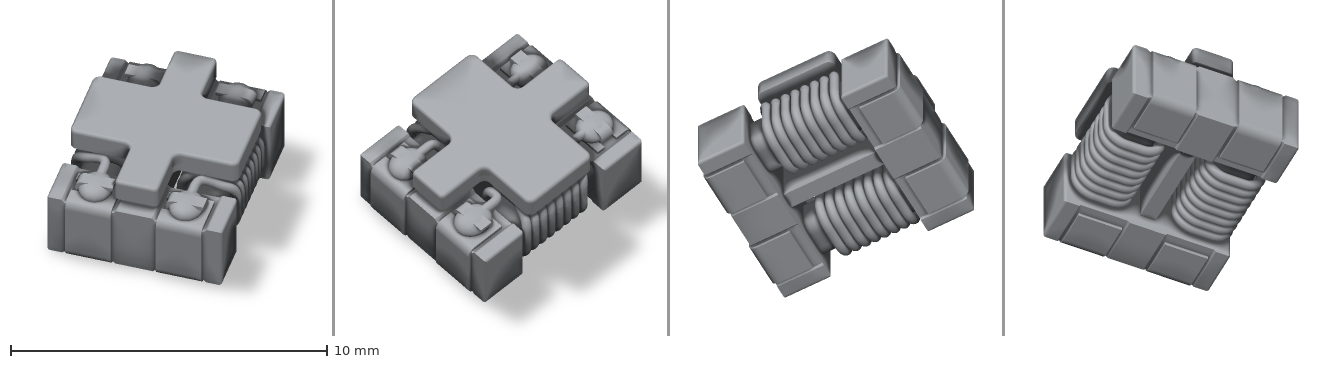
import cadquery as cq
import math


FLANGE_LENGTH = 5.8
FLANGE_OUTER_Y = 3.43
FLANGE_INNER_Y = 1.75
FLANGE_BOTTOM = 0.055
FLANGE_TOP = 2.305
FLANGE_FILLET = 0.1
LEG_X = 1.75
LEG_WIDTH = 1.4
LEG_HEIGHT = 1.5
LEG_BOTTOM = 0.555
LEG_RADIUS = 0.4
WALL_WIDTH = 0.53

TERMINAL_X = 1.5
TERMINAL_WIDTH = 1.5
TERMINAL_THICKNESS = 0.12
TERMINAL_HEIGHT = 2.325
TERMINAL_BEND = 0.3
TERMINAL_OUTER_Y = FLANGE_OUTER_Y + TERMINAL_THICKNESS
FOOT_END_Y = 2.09
TAB_Y = 2.64
TAB_WIDTH = 0.46
TAB_TOP = 2.695
TAB_BEND_X = -0.38
TAB_END_X = 0.61
NOTCH_WIDTH = 0.52

RECESS_FLOOR_WIDTH = 1.63
RECESS_TOP_FLOOR = TERMINAL_HEIGHT - TERMINAL_THICKNESS
RECESS_BOTTOM_FLOOR = TERMINAL_THICKNESS

SOLDER_RADIUS_X = 0.55
SOLDER_RADIUS_Y = 0.65
SOLDER_RADIUS_Z = 0.34
SOLDER_Z = 2.4

WIRE_DIAMETER = 0.315
COIL_GAP = 0.21
COIL_RADIUS = LEG_RADIUS + COIL_GAP
TURNS = 8
PITCH = 0.35
FIRST_TURN_Y = 1.41
RISING_SHARE = 0.36
CREST_SHARE = 0.8
LEAD_Z = 2.5
LEAD_END_Y = 2.4
BACK_LEAD_SHARES = (0.45, 0.9, 0.14)
FRONT_LEAD_SHARES = (0.35, 0.35, 0.75)

COVER_TOP = 3.4
COVER_BOTTOM = 2.67
COVER_LENGTH_X = 5.58
COVER_LENGTH_Y = 6.5
COVER_BODY_WIDTH = 2.77
COVER_ARM_WIDTH = 1.42
COVER_RADIUS = 0.25
COVER_ARM_RADIUS = 0.15
COVER_TOP_FILLET = 0.12


def box(x_min, x_max, y_min, y_max, z_min, z_max):
    """Axis-aligned block between two opposite corners."""
    size = (x_max - x_min, y_max - y_min, z_max - z_min)
    return cq.Workplane("XY").box(*size, centered=False).translate((x_min, y_min, z_min))



def make_terminal():
    """Front terminal centred on X = 0: a C-shaped clip whose tab folds back over its top foot."""
    half_width = TERMINAL_WIDTH / 2
    mid_y = -(TERMINAL_OUTER_Y + FOOT_END_Y) / 2
    depth = TERMINAL_OUTER_Y - FOOT_END_Y
    clip = (
        cq.Workplane("XY")
        .box(TERMINAL_WIDTH, depth, TERMINAL_HEIGHT, centered=(True, True, False))
        .translate((0, mid_y, 0))
        .edges("|X and <Y")
        .fillet(TERMINAL_BEND)
    )
    inner = (
        box(-half_width, half_width, -FLANGE_OUTER_Y, -FOOT_END_Y, RECESS_BOTTOM_FLOOR, RECESS_TOP_FLOOR)
        .edges("|X and <Y")
        .fillet(TERMINAL_BEND - TERMINAL_THICKNESS)
    )
    notch = box(
        -half_width, TAB_BEND_X,
        -TAB_Y - NOTCH_WIDTH / 2, -TAB_Y + NOTCH_WIDTH / 2,
        RECESS_TOP_FLOOR, TERMINAL_HEIGHT,
    )
    return clip.cut(inner).cut(notch).union(make_tab())


def make_tab():
    """Strip leaving the top foot, bending half round and running back above it."""
    bend_outer = (TAB_TOP - RECESS_TOP_FLOOR) / 2
    bend_inner = bend_outer - TERMINAL_THICKNESS
    bend_z = RECESS_TOP_FLOOR + bend_outer
    return (
        cq.Workplane("XZ", origin=(0, -TAB_Y, 0))
        .moveTo(0, RECESS_TOP_FLOOR)
        .lineTo(TAB_BEND_X, RECESS_TOP_FLOOR)
        .threePointArc((TAB_BEND_X - bend_outer, bend_z), (TAB_BEND_X, TAB_TOP))
        .lineTo(TAB_END_X, TAB_TOP)
        .lineTo(TAB_END_X, TAB_TOP - TERMINAL_THICKNESS)
        .lineTo(TAB_BEND_X, TAB_TOP - TERMINAL_THICKNESS)
        .threePointArc((TAB_BEND_X - bend_inner, bend_z), (TAB_BEND_X, TERMINAL_HEIGHT))
        .lineTo(0, TERMINAL_HEIGHT)
        .close()
        .extrude(TAB_WIDTH / 2, both=True)
    )



def make_recess(center_x, floor_z, surface_z):
    """Trapezoidal channel along Y from the flange surface to the recess floor."""
    half_floor = RECESS_FLOOR_WIDTH / 2
    half_mouth = half_floor + abs(surface_z - floor_z)
    return (
        cq.Workplane("XZ")
        .polyline([
            (center_x - half_floor, floor_z),
            (center_x + half_floor, floor_z),
            (center_x + half_mouth, surface_z),
            (center_x - half_mouth, surface_z),
        ])
        .close()
        .extrude(FLANGE_OUTER_Y, both=True)
    )


def make_flange(side):
    """End block on the +Y or -Y side, with its two end faces rounded off."""
    return (
        cq.Workplane("XY")
        .box(FLANGE_LENGTH, FLANGE_OUTER_Y - FLANGE_INNER_Y, FLANGE_TOP - FLANGE_BOTTOM)
        .faces("<X or >X")
        .edges()
        .fillet(FLANGE_FILLET)
        .translate((
            0,
            side * (FLANGE_OUTER_Y + FLANGE_INNER_Y) / 2,
            (FLANGE_TOP + FLANGE_BOTTOM) / 2,
        ))
    )


def make_leg(center_x):
    """Round-cornered leg running between the flanges."""
    return (
        cq.Workplane("XY")
        .box(LEG_WIDTH, 2 * FLANGE_INNER_Y, LEG_HEIGHT)
        .edges("|Y")
        .fillet(LEG_RADIUS)
        .translate((center_x, 0, LEG_BOTTOM + LEG_HEIGHT / 2))
    )


def make_core():
    half_wall = WALL_WIDTH / 2
    core = box(-half_wall, half_wall, -FLANGE_INNER_Y, FLANGE_INNER_Y, LEG_BOTTOM, COVER_BOTTOM)
    for side in (-1, 1):
        core = core.union(make_flange(side)).union(make_leg(side * LEG_X))
    for center_x in (-TERMINAL_X, TERMINAL_X):
        core = core.cut(make_recess(center_x, RECESS_TOP_FLOOR, FLANGE_TOP))
        core = core.cut(make_recess(center_x, RECESS_BOTTOM_FLOOR, FLANGE_BOTTOM))
    return core



def quarter_bend(start, end, start_direction):
    """Quarter-circle edge leaving its start along a unit direction."""
    chord = end - start
    along = start_direction * start_direction.dot(chord)
    centre = end - along
    middle = centre + (start - centre + along) * math.sqrt(0.5)
    return cq.Edge.makeThreePointArc(start, middle, end)


def point_between(start, end, shares):
    """Point part of the way from start to end, with its own share along each axis."""
    run = end - start
    return start + cq.Vector(run.x * shares[0], run.y * shares[1], run.z * shares[2])


def make_coil():
    """Left coil: its turns stay flat below the leg and step one pitch as they rise over its top."""
    outer_x = -LEG_X - LEG_WIDTH / 2 - COIL_GAP
    inner_x = -LEG_X + LEG_WIDTH / 2 + COIL_GAP
    bottom_z = LEG_BOTTOM - COIL_GAP
    top_z = LEG_BOTTOM + LEG_HEIGHT + COIL_GAP
    low_z = bottom_z + COIL_RADIUS
    high_z = top_z - COIL_RADIUS
    corner = COIL_RADIUS * math.sqrt(0.5)
    up = cq.Vector(0, 0, 1)
    inward = cq.Vector(1, 0, 0)
    forward = cq.Vector(0, -1, 0)

    back_end = cq.Vector(-TERMINAL_X, LEAD_END_Y, LEAD_Z)
    back_bend = cq.Vector(-TERMINAL_X, FLANGE_INNER_Y, LEAD_Z)
    strand_top = cq.Vector(inner_x, FIRST_TURN_Y, high_z)
    back_middle = point_between(back_bend, strand_top, BACK_LEAD_SHARES)
    edges = [
        cq.Edge.makeLine(back_end, back_bend),
        cq.Edge.makeSpline([back_bend, back_middle, strand_top], [forward, -up]),
    ]

    for turn in range(TURNS):
        y = FIRST_TURN_Y - turn * PITCH
        inner_low = cq.Vector(inner_x, y, low_z)
        inner_bottom = cq.Vector(inner_x - COIL_RADIUS, y, bottom_z)
        outer_bottom = cq.Vector(outer_x + COIL_RADIUS, y, bottom_z)
        outer_low = cq.Vector(outer_x, y, low_z)
        outer_high = cq.Vector(outer_x, y, high_z)
        edges += [
            cq.Edge.makeLine(strand_top, inner_low),
            quarter_bend(inner_low, inner_bottom, -up),
            cq.Edge.makeLine(inner_bottom, outer_bottom),
            quarter_bend(outer_bottom, outer_low, -inward),
            cq.Edge.makeLine(outer_low, outer_high),
        ]
        if turn == TURNS - 1:
            break
        next_y = y - PITCH
        rising = cq.Vector(outer_x + COIL_RADIUS - corner, y - RISING_SHARE * PITCH, high_z + corner)
        crest = cq.Vector(outer_x + COIL_RADIUS, y - CREST_SHARE * PITCH, top_z)
        inner_top = cq.Vector(inner_x - COIL_RADIUS, next_y, top_z)
        strand_top = cq.Vector(inner_x, next_y, high_z)
        edges += [
            cq.Edge.makeSpline([outer_high, rising, crest, inner_top], [up, inward]),
            quarter_bend(inner_top, strand_top, inward),
        ]

    front_bend = cq.Vector(-TERMINAL_X, -FLANGE_INNER_Y, LEAD_Z)
    front_end = cq.Vector(-TERMINAL_X, -LEAD_END_Y, LEAD_Z)
    front_middle = point_between(outer_high, front_bend, FRONT_LEAD_SHARES)
    edges += [
        cq.Edge.makeSpline([outer_high, front_middle, front_bend], [up, forward]),
        cq.Edge.makeLine(front_bend, front_end),
    ]
    path = cq.Workplane(cq.Wire.assembleEdges(edges))
    profile = cq.Workplane("XZ", origin=back_end.toTuple()).circle(WIRE_DIAMETER / 2)
    return profile.sweep(path)


def make_solder(x, y):
    """Ellipsoidal solder joint."""
    scale = cq.Matrix([
        [SOLDER_RADIUS_X, 0, 0, x],
        [0, SOLDER_RADIUS_Y, 0, y],
        [0, 0, SOLDER_RADIUS_Z, SOLDER_Z],
    ])
    ball = cq.Workplane("XY").sphere(1).val()
    return cq.Workplane(ball.transformGeometry(scale))


def make_wound_core(terminals):
    """Core with its coils and solder joints, hollowed where the terminals seat."""
    left_coil = make_coil()
    wound_core = make_core().union(left_coil).union(left_coil.mirror("YZ"))
    for x in (-TERMINAL_X, TERMINAL_X):
        for y in (-TAB_Y, TAB_Y):
            wound_core = wound_core.union(make_solder(x, y))
    for terminal in terminals:
        wound_core = wound_core.cut(terminal)
    return wound_core



def make_cover():
    """Cross-shaped plate with rounded corners and a rounded upper rim."""
    height = COVER_TOP - COVER_BOTTOM
    arm = cq.Workplane("XY").box(COVER_ARM_WIDTH, COVER_LENGTH_Y, height).edges("|Z").fillet(COVER_ARM_RADIUS)
    body = cq.Workplane("XY").box(COVER_LENGTH_X, COVER_BODY_WIDTH, height).edges("|Z").fillet(COVER_RADIUS)
    inner_corners = cq.selectors.BoxSelector(
        (-COVER_ARM_WIDTH, -COVER_BODY_WIDTH, -height),
        (COVER_ARM_WIDTH, COVER_BODY_WIDTH, height),
    )
    cross = body.union(arm).edges("|Z").edges(inner_corners).fillet(COVER_RADIUS)
    rimmed = cross.faces(">Z").edges().fillet(COVER_TOP_FILLET)
    return rimmed.translate((0, 0, (COVER_TOP + COVER_BOTTOM) / 2))



front_terminals = [make_terminal().translate((x, 0, 0)) for x in (-TERMINAL_X, TERMINAL_X)]
back_terminals = [terminal.rotate((0, 0, 0), (0, 0, 1), 180) for terminal in front_terminals]
terminals = front_terminals + back_terminals
wound_core = make_wound_core(terminals)
cover = make_cover()

result = cq.Compound.makeCompound(
    [*wound_core.vals(), cover.val(), *[terminal.val() for terminal in terminals]]
)